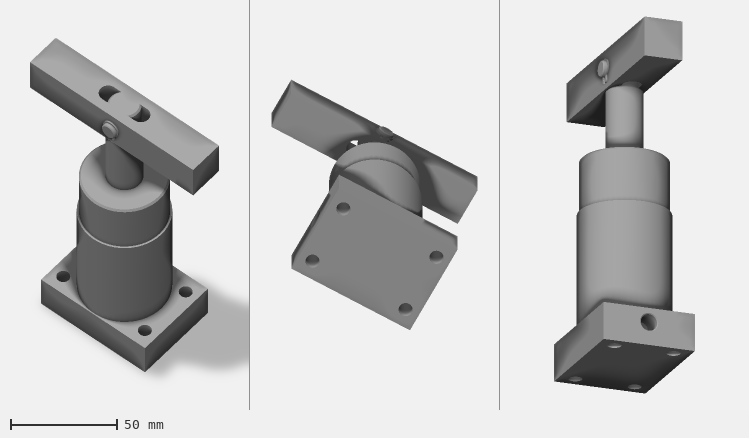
import cadquery as cq
import math

total_height = 156.6

base_length = 63.6
base_width = 46.0
base_height = 18.5
barrel_diameter = 45.0
barrel_top = 75.0
cap_diameter = 43.0
cap_top = 102.1
edge_chamfer = 1.0

mount_hole_diameter = 6.6
mount_spacing_x = 50.0
mount_spacing_y = 29.9

port_diameter = 8.1
port_height = 11.5
port_depth = 12.0
port_chamfer = 0.5
drill_point_angle = 118.0
passage_diameter = 1.5
passage_setback = passage_diameter / 2

arm_length = 100.0
arm_width = 19.0
arm_height = 19.5
arm_bottom = total_height - arm_height
slot_length = 29.0
slot_width = 9.0

rod_diameter = 18.0
tongue_diameter = rod_diameter - 2 * edge_chamfer
tongue_top = total_height

pin_diameter = 8.0
pin_length = 24.3
pin_chamfer = 0.5
pin_height = arm_bottom + arm_height / 2

clip_thickness = 0.8
clip_diameter = 9.1
clip_offset = 0.5
clip_gap = 1.5
clip_ear_span = 4.7
clip_ear_drop = 7.0
clip_ear_rounding = 1.4
clip_eye_diameter = 0.6
clip_eye_spacing = 2.5
clip_eye_drop = 5.2


def make_port_cutter():
    """Chamfered blind port with a drilled cone end and a passage rising from the cone."""
    radius = port_diameter / 2
    cone_depth = radius / math.tan(math.radians(drill_point_angle / 2))
    tip_depth = port_depth + cone_depth
    face_x = -base_length / 2
    bore = (
        cq.Workplane("XY")
        .moveTo(0, 0)
        .lineTo(0, radius + port_chamfer)
        .lineTo(port_chamfer, radius)
        .lineTo(port_depth, radius)
        .lineTo(tip_depth, 0)
        .close()
        .revolve(360, (0, 0, 0), (1, 0, 0))
        .translate((face_x, 0, port_height))
    )
    passage = (
        cq.Workplane("XY", origin=(face_x + tip_depth - passage_setback, 0, port_height))
        .circle(passage_diameter / 2)
        .extrude(base_height - port_height)
    )
    return bore.union(passage)


def make_housing():
    base = (
        cq.Workplane("XY")
        .box(base_length, base_width, base_height, centered=(True, True, False))
        .faces(">Z")
        .workplane()
        .rect(mount_spacing_x, mount_spacing_y, forConstruction=True)
        .vertices()
        .hole(mount_hole_diameter)
    )
    barrel = (
        cq.Workplane("XY", origin=(0, 0, base_height))
        .circle(barrel_diameter / 2)
        .extrude(barrel_top - base_height)
    )
    cap = (
        cq.Workplane("XY", origin=(0, 0, barrel_top))
        .circle(cap_diameter / 2)
        .extrude(cap_top - barrel_top)
        .faces(">Z")
        .chamfer(edge_chamfer)
    )
    return base.union(barrel).union(cap).cut(make_port_cutter())


def make_pin_shape(length):
    """Plain cylinder along Y, centred in the arm."""
    return (
        cq.Workplane("XZ", origin=(0, length / 2, pin_height))
        .circle(pin_diameter / 2)
        .extrude(length)
    )


def make_rod():
    shaft = (
        cq.Workplane("XY", origin=(0, 0, cap_top))
        .circle(rod_diameter / 2)
        .extrude(arm_bottom - cap_top)
        .faces(">Z")
        .chamfer(edge_chamfer)
    )
    tongue_blank = (
        cq.Workplane("XY", origin=(0, 0, arm_bottom))
        .circle(tongue_diameter / 2)
        .extrude(tongue_top - arm_bottom)
        .faces(">Z")
        .chamfer(edge_chamfer)
    )
    flats = (
        cq.Workplane("XY", origin=(0, 0, arm_bottom))
        .box(rod_diameter, slot_width, arm_height, centered=(True, True, False))
    )
    tongue = tongue_blank.intersect(flats)
    return shaft.union(tongue).cut(make_pin_shape(arm_width))


def make_arm():
    return (
        cq.Workplane("XY", origin=(0, 0, arm_bottom))
        .box(arm_length, arm_width, arm_height, centered=(True, True, False))
        .faces(">Z")
        .workplane()
        .slot2D(slot_length, slot_width)
        .cutThruAll()
        .cut(make_pin_shape(arm_width))
    )


def make_pin():
    return make_pin_shape(pin_length).faces("<Y or >Y").chamfer(pin_chamfer)


def make_clip(inner_y):
    """Eccentric open ring with two drilled ears, extruded toward -Y from inner_y."""
    plane = cq.Workplane("XZ", origin=(0, inner_y, pin_height))
    ring = plane.center(0, clip_offset).circle(clip_diameter / 2).extrude(clip_thickness)
    ears = (
        plane.center(0, -clip_ear_drop / 2)
        .rect(clip_ear_span, clip_ear_drop)
        .extrude(clip_thickness)
        .edges("|Y and <Z")
        .fillet(clip_ear_rounding)
    )
    gap = plane.center(0, -clip_ear_drop / 2).rect(clip_gap, clip_ear_drop).extrude(clip_thickness)
    eyes = (
        plane.pushPoints([(side * clip_eye_spacing / 2, -clip_eye_drop) for side in (-1, 1)])
        .circle(clip_eye_diameter / 2)
        .extrude(clip_thickness)
    )
    return ring.union(ears).cut(gap).cut(eyes).cut(make_pin_shape(pin_length))


housing = make_housing()
rod = make_rod()
arm = make_arm()
pin = make_pin()

clips = [make_clip(inner_y) for inner_y in (-arm_width / 2, arm_width / 2 + clip_thickness)]

result = cq.Compound.makeCompound(
    [housing.val(), rod.val(), arm.val(), pin.val(), *[clip.val() for clip in clips]]
)